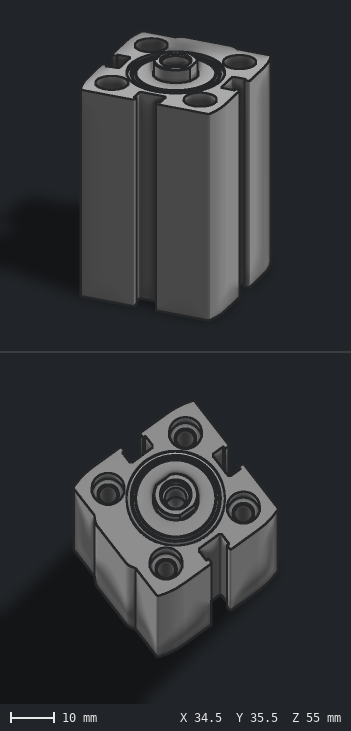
import cadquery as cq
import math

side = 34.5
half_side = side / 2
overall_height = 55
housing_height = 52.0

flat_half_length = 10.65
side_arc_radius = 18.15
corner_radius = 0.6
bulge_height = 1.0
bulge_foot_half_width = 7.8
bulge_slope_angle = 30
bulge_edge_radius = 3.0

slot_mouth_width = 5.2
slot_inner_width = 6.5
slot_depth = 4.5
slot_lip_depth = 1.3
slot_corner_radius = 0.5
slot_mouth_radius = 0.4

screw_pitch = 22.0
screw_head_diameter = 7.5
screw_head_depth = 4.95
screw_sink_diameter = 4.9
screw_hole_diameter = 4.2

outer_groove_diameter = 22.4
outer_ridge_diameter = 20.5
ridge_bevel_drop = 0.15
inner_groove_diameter = 20.0
inner_floor_diameter = 19.6
inner_slope_diameter = 18.5
cover_diameter = 18.05
cover_depth = 0.2
cover_edge_drop = 0.1
outer_slope_angle = 30
inner_slope_angle = 45
wiper_opening_diameter = 10.4
wiper_opening_depth = 1.1

rod_diameter = 10.0
rod_flats_width = 9.0
rod_length = 24.75
rod_chamfer = 0.15
rod_sink_diameter = 7.15
rod_bore_diameter = 6.4
rod_bore_depth = 2.75
rod_tap_diameter = 4.9
rod_tap_depth = 11.0
drill_tip_angle = 118

cover_top = housing_height - cover_depth
wiper_floor = cover_top - wiper_opening_depth
rod_bottom = overall_height - rod_length


def housing_block():
    """Square block with bowed side ends and a low bulge along the back."""
    arc_rise = half_side - flat_half_length
    arc_drop = side_arc_radius - math.sqrt(side_arc_radius**2 - arc_rise**2)
    corner_x = half_side - arc_drop
    bulge_top = half_side + bulge_height
    bulge_top_half_width = bulge_foot_half_width - bulge_height / math.tan(math.radians(bulge_slope_angle))
    block = (
        cq.Workplane("XY")
        .moveTo(-corner_x, -half_side)
        .lineTo(corner_x, -half_side)
        .radiusArc((half_side, -flat_half_length), -side_arc_radius)
        .lineTo(half_side, flat_half_length)
        .radiusArc((corner_x, half_side), -side_arc_radius)
        .lineTo(bulge_foot_half_width, half_side)
        .lineTo(bulge_top_half_width, bulge_top)
        .lineTo(-bulge_top_half_width, bulge_top)
        .lineTo(-bulge_foot_half_width, half_side)
        .lineTo(-corner_x, half_side)
        .radiusArc((-half_side, flat_half_length), -side_arc_radius)
        .lineTo(-half_side, -flat_half_length)
        .radiusArc((-corner_x, -half_side), -side_arc_radius)
        .close()
        .extrude(housing_height)
    )
    for x in (-corner_x, corner_x):
        for y in (-half_side, half_side):
            corner_edge = cq.selectors.NearestToPointSelector((x, y, housing_height / 2))
            block = block.edges(corner_edge).fillet(corner_radius)
    return block.faces(">Y").edges("|Z").fillet(bulge_edge_radius)


def slot_cutter():
    """T-slot open towards -Y, with rounded inner corners and a mouth that flares at its edges."""
    mouth_half = slot_mouth_width / 2
    inner_half = slot_inner_width / 2
    flare_half = mouth_half + slot_mouth_radius
    return (
        cq.Workplane("XY")
        .moveTo(-flare_half, 0)
        .radiusArc((-mouth_half, slot_mouth_radius), -slot_mouth_radius)
        .lineTo(-mouth_half, slot_lip_depth)
        .lineTo(-inner_half, slot_lip_depth)
        .lineTo(-inner_half, slot_depth)
        .lineTo(inner_half, slot_depth)
        .lineTo(inner_half, slot_lip_depth)
        .lineTo(mouth_half, slot_lip_depth)
        .lineTo(mouth_half, slot_mouth_radius)
        .radiusArc((flare_half, 0), -slot_mouth_radius)
        .close()
        .extrude(housing_height)
        .edges("|Z and >Y")
        .fillet(slot_corner_radius)
        .translate((0, -half_side, 0))
    )


def screw_hole_cutter():
    """Through hole with a countersink at the floor of a flat counterbore."""
    floor = housing_height - screw_head_depth
    sink_depth = (screw_sink_diameter - screw_hole_diameter) / 2
    return (
        cq.Workplane("XZ")
        .lineTo(screw_hole_diameter / 2, 0)
        .lineTo(screw_hole_diameter / 2, floor - sink_depth)
        .lineTo(screw_sink_diameter / 2, floor)
        .lineTo(screw_head_diameter / 2, floor)
        .lineTo(screw_head_diameter / 2, housing_height)
        .lineTo(0, housing_height)
        .close()
        .revolve(360, (0, 0), (0, 1))
    )


def slope_drop(outer_diameter, inner_diameter, angle):
    """Height that a conical face falls between two diameters."""
    return math.tan(math.radians(angle)) * (outer_diameter - inner_diameter) / 2


def cover_cutter():
    """Recess above the rod cover, with two grooves whose floors fall outwards."""
    slope_top = cover_top - cover_edge_drop
    outer_floor = cover_top - slope_drop(outer_groove_diameter, outer_ridge_diameter, outer_slope_angle)
    inner_floor = slope_top - slope_drop(inner_floor_diameter, inner_slope_diameter, inner_slope_angle)
    return (
        cq.Workplane("XZ")
        .moveTo(0, housing_height)
        .lineTo(0, cover_top)
        .lineTo(cover_diameter / 2, cover_top)
        .lineTo(inner_slope_diameter / 2, slope_top)
        .lineTo(inner_floor_diameter / 2, inner_floor)
        .lineTo(inner_groove_diameter / 2, inner_floor)
        .lineTo(inner_groove_diameter / 2, cover_top - ridge_bevel_drop)
        .lineTo(outer_ridge_diameter / 2, cover_top)
        .lineTo(outer_groove_diameter / 2, outer_floor)
        .lineTo(outer_groove_diameter / 2, housing_height)
        .close()
        .revolve(360, (0, 0), (0, 1))
    )


def make_housing():
    """Profiled body with T-slots, screw holes, the rod cover and a blind hole for the rod."""
    housing = housing_block()
    for angle in (-90, 0, 90):
        housing = housing.cut(slot_cutter().rotate((0, 0, 0), (0, 0, 1), angle))
    for x in (-screw_pitch / 2, screw_pitch / 2):
        for y in (-screw_pitch / 2, screw_pitch / 2):
            housing = housing.cut(screw_hole_cutter().translate((x, y, 0)))
    rod_hole = (
        cq.Workplane("XY").workplane(offset=rod_bottom)
        .circle(rod_diameter / 2).extrude(rod_length)
    )
    wiper_opening = (
        cq.Workplane("XY").workplane(offset=wiper_floor)
        .circle(wiper_opening_diameter / 2).extrude(wiper_opening_depth)
    )
    return housing.cut(cover_cutter()).cut(rod_hole).cut(wiper_opening)


def rod_bore_cutter():
    """Countersunk bore stepping down to a tapped hole with a conical drill tip."""
    sink_depth = (rod_sink_diameter - rod_bore_diameter) / 2
    tip_slope = 1 / math.tan(math.radians(drill_tip_angle / 2))
    step_depth = tip_slope * (rod_bore_diameter - rod_tap_diameter) / 2
    tip_depth = tip_slope * rod_tap_diameter / 2
    return (
        cq.Workplane("XZ")
        .lineTo(rod_sink_diameter / 2, 0)
        .lineTo(rod_bore_diameter / 2, -sink_depth)
        .lineTo(rod_bore_diameter / 2, -rod_bore_depth)
        .lineTo(rod_tap_diameter / 2, -rod_bore_depth - step_depth)
        .lineTo(rod_tap_diameter / 2, -rod_tap_depth)
        .lineTo(0, -rod_tap_depth - tip_depth)
        .close()
        .revolve(360, (0, 0), (0, 1))
        .translate((0, 0, overall_height))
    )


def make_rod():
    """Round rod with two wrench flats that reach down to the floor of the wiper opening."""
    rod = (
        cq.Workplane("XY").workplane(offset=rod_bottom)
        .circle(rod_diameter / 2).extrude(rod_length)
        .faces(">Z").chamfer(rod_chamfer)
    )
    flats = (
        cq.Workplane("XY").workplane(offset=wiper_floor)
        .rect(2 * rod_diameter, 2 * rod_diameter)
        .rect(rod_flats_width, 2 * rod_diameter)
        .extrude(overall_height - wiper_floor)
    )
    return rod.cut(flats).cut(rod_bore_cutter())


housing = make_housing()
rod = make_rod()
result = cq.Compound.makeCompound([housing.val(), rod.val()])